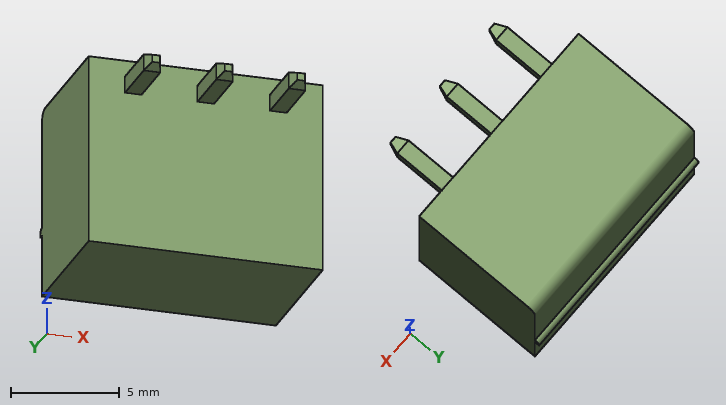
import cadquery as cq

housing_width = 11.3
housing_depth = 7.0
housing_height = 9.2
back_edge_radius = 0.5

ridge_projection = 0.25
ridge_height = 0.4
ridge_bottom_z = 3.03
ridge_edge_radius = 0.23

pin_count = 3
pin_pitch = 3.5
pin_size = 0.8
pin_length = 3.4
pin_tip_size = 0.36
pin_taper_length = 0.6
pin_drop_from_top = 1.2

pin_z = housing_height - pin_drop_from_top


def make_housing():
    """Block with its front face at Y = 0, centred on X, resting on Z = 0."""
    block = cq.Workplane("XY").box(
        housing_width, housing_depth, housing_height, centered=(True, False, False)
    )
    return block.edges(">Y and >Z").fillet(back_edge_radius)


def make_ridge():
    """Full-width ridge with a rounded upper outer edge."""
    ridge = cq.Workplane("XY").box(
        housing_width, ridge_projection, ridge_height, centered=(True, False, False)
    )
    ridge = ridge.edges(">Y and >Z").fillet(ridge_edge_radius)
    return ridge.translate((0, housing_depth, ridge_bottom_z))


def make_pin(x):
    """Square pin pointing along -Y, ending in a truncated pyramid."""
    shank_length = pin_length - pin_taper_length
    shank = cq.Workplane("XZ").center(x, pin_z).rect(pin_size, pin_size).extrude(shank_length)
    tip = (
        cq.Workplane("XZ", origin=(x, -shank_length, pin_z))
        .rect(pin_size, pin_size)
        .workplane(offset=pin_taper_length)
        .rect(pin_tip_size, pin_tip_size)
        .loft(ruled=True)
    )
    return shank.union(tip)


result = make_housing().union(make_ridge())
for index in range(pin_count):
    pin_x = (index - (pin_count - 1) / 2) * pin_pitch
    result = result.union(make_pin(pin_x))